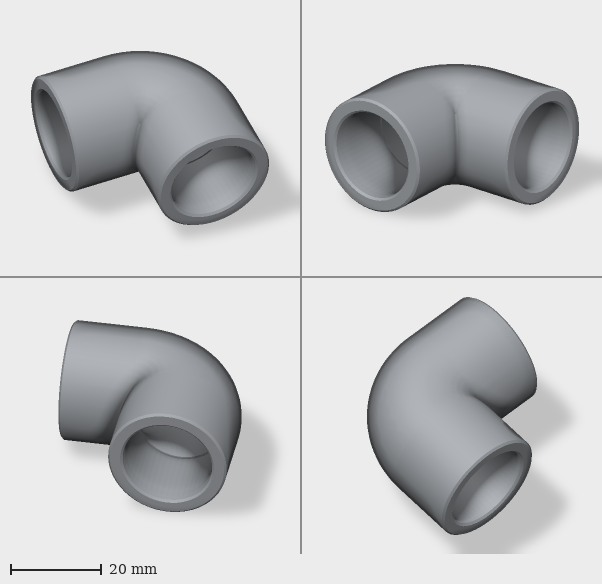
import cadquery as cq
import math

overall_length = 40.25
outer_diameter = 26.5
socket_diameter = 20.0
bend_bore_diameter = 19.0
socket_length = 16.05
edge_chamfer = 0.5
crotch_fillet = 0.5

outer_radius = outer_diameter / 2
bend_bore_radius = bend_bore_diameter / 2
socket_radius = socket_diameter / 2
bend_radius = overall_length - socket_length - outer_radius
corner_reach = outer_radius - bend_radius
corner_height = math.sqrt(outer_radius**2 - bend_radius**2)

ARM_ENDS = (
    (cq.Vector(0, bend_radius, 0), cq.Vector(1, 0, 0)),
    (cq.Vector(-bend_radius, 0, 0), cq.Vector(0, -1, 0)),
)


def make_arm(start, direction):
    """Solid outer cylinder of one arm, chamfered at its mouth."""
    end_plane = cq.Plane(origin=start, xDir=(0, 0, 1), normal=direction)
    arm = cq.Workplane(end_plane).circle(outer_radius).extrude(socket_length)
    return arm.faces(cq.selectors.DirectionMinMaxSelector(direction, True)).chamfer(edge_chamfer)


def make_corner_web():
    """Rounded inside corner where the two arms meet, kept to the quadrant they share."""
    slab = cq.Workplane("XY").box(2 * bend_radius, 2 * bend_radius, 2 * corner_height)
    first, second = [
        cq.Workplane(cq.Plane(origin=start - direction * bend_radius, xDir=(0, 0, 1), normal=direction))
        .circle(outer_radius)
        .extrude(2 * bend_radius)
        .intersect(slab)
        for start, direction in ARM_ENDS
    ]
    inside_corner = cq.selectors.NearestToPointSelector((corner_reach, -corner_reach, 0))
    rounded = first.union(second).edges(inside_corner).fillet(crotch_fillet)
    web_size = corner_reach + crotch_fillet
    quadrant = cq.Workplane("XY").box(web_size, web_size, 2 * corner_height, centered=(False, False, True))
    return rounded.intersect(quadrant.translate((0, -web_size, 0)))


def make_outer_bend():
    """Quarter of a ring about the bend axis; its round section is cut off at that axis."""
    ring = (
        cq.Workplane("XZ")
        .moveTo(0, -corner_height)
        .threePointArc((-bend_radius - outer_radius, 0), (0, corner_height))
        .close()
        .revolve(360, (0, 0), (0, -1))
    )
    quarter_size = overall_length
    quarter = cq.Workplane("XY").box(quarter_size, quarter_size, quarter_size, centered=(False, False, True))
    return ring.intersect(quarter.translate((-quarter_size, 0, 0)))


def make_bend_bore():
    """Quarter-turn bore that joins the two sockets."""
    return (
        cq.Workplane("XZ")
        .center(-bend_radius, 0)
        .circle(bend_bore_radius)
        .revolve(90, (bend_radius, 0), (bend_radius, -1))
    )


def make_socket(start, direction):
    """Pipe socket with a chamfered mouth; the smaller bend bore leaves a stop at its bottom."""
    socket_plane = cq.Plane(origin=start, xDir=(0, 0, 1), normal=direction)
    mouth_radius = socket_radius + edge_chamfer
    return (
        cq.Workplane(socket_plane)
        .circle(socket_radius)
        .extrude(socket_length)
        .faces(cq.selectors.DirectionMinMaxSelector(direction, True))
        .workplane(offset=-edge_chamfer)
        .circle(socket_radius)
        .workplane(offset=edge_chamfer)
        .circle(mouth_radius)
        .loft(combine=True)
    )


def make_elbow():
    elbow = make_outer_bend()
    for start, direction in ARM_ENDS:
        elbow = elbow.union(make_arm(start, direction))
    elbow = elbow.union(make_corner_web()).cut(make_bend_bore())
    for start, direction in ARM_ENDS:
        elbow = elbow.cut(make_socket(start, direction))
    return elbow


elbow = make_elbow()
result = cq.Compound.makeCompound([*elbow.solids().vals()])